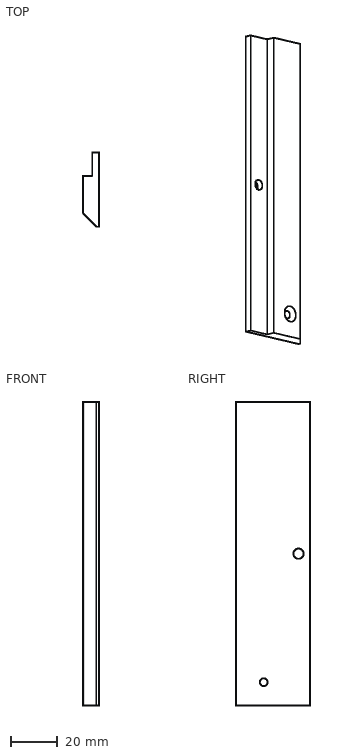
import cadquery as cq

thickness = 7.0
width = 31.8
length = 130.0

flange_thickness = 3.0
flange_width = 10.0
bevel_depth = 5.8
bevel_width = 5.8
bevel_edge_radius = 1.3

flange_hole_diameter = 4.3
flange_hole_y = width - flange_width / 2
flange_hole_z = length / 2

screw_hole_diameter = 3.2
countersink_diameter = 6.8
screw_hole_y = 12.0
screw_hole_z = 10.0


def make_profile_bar():
    """Extrude the stepped and bevelled cross-section along Z."""
    outline = [
        (thickness - flange_thickness, width),
        (thickness, width),
        (thickness, 0),
        (bevel_depth, 0),
        (0, bevel_width),
        (0, width - flange_width),
        (thickness - flange_thickness, width - flange_width),
    ]
    return cq.Workplane("XY").polyline(outline).close().extrude(length)


def round_bevel_edge(bar):
    """Round the long edge where the bevel meets the thick face at X = 0."""
    bevel_edge = cq.selectors.NearestToPointSelector((0, bevel_width, length / 2))
    return bar.edges(bevel_edge).fillet(bevel_edge_radius)


def make_flange_hole():
    """Cylinder along X that cuts straight through the flange."""
    return (
        cq.Workplane("YZ")
        .center(flange_hole_y, flange_hole_z)
        .circle(flange_hole_diameter / 2)
        .extrude(thickness)
    )


def make_screw_hole():
    """Through hole along X with a conical countersink opening at X = 0."""
    hole_radius = screw_hole_diameter / 2
    countersink_radius = countersink_diameter / 2
    countersink_depth = countersink_radius - hole_radius
    half_section = [
        (0, 0),
        (0, countersink_radius),
        (countersink_depth, hole_radius),
        (thickness, hole_radius),
        (thickness, 0),
    ]
    return (
        cq.Workplane("XY")
        .polyline(half_section)
        .close()
        .revolve(360, (0, 0, 0), (1, 0, 0))
        .translate((0, screw_hole_y, screw_hole_z))
    )


bar = round_bevel_edge(make_profile_bar())
result = bar.cut(make_flange_hole()).cut(make_screw_hole())